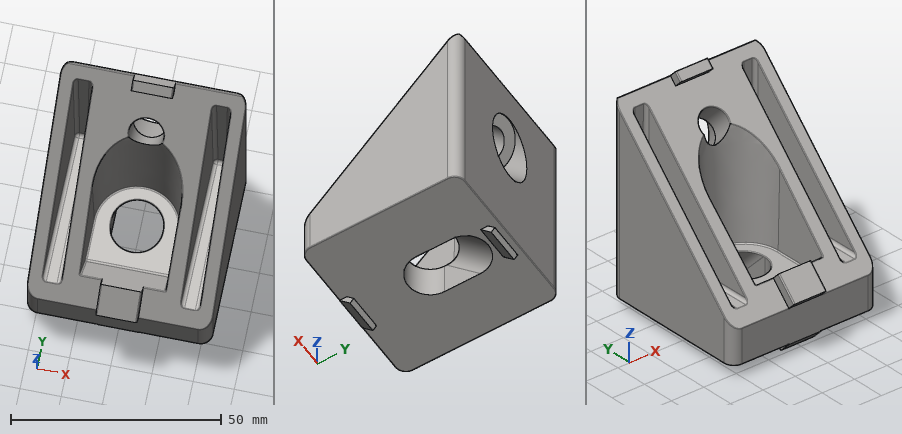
import cadquery as cq
import math

SIDE = 45.0
HALF = SIDE / 2
FRONT_HEIGHT = 10.0
SLOPE_HEIGHT = FRONT_HEIGHT + HALF
TIP_CHAMFER = 0.75
TIP_Y = HALF - TIP_CHAMFER
CORNER_RADIUS = 3.0
EDGE_ROUND = 0.2

TAB_WIDTH = 10.0
TAB_RISE = 2.0
TAB_ROOT = 0.6
TAB_ROUND = 0.3
UPPER_TAB_RUN = 2.0
LOWER_TAB_RUN = 5.8

FOOT_WIDTH = TAB_WIDTH
FOOT_DROP = 3.0
FOOT_THICKNESS = 1.5
FOOT_PITCH = 40.0
FOOT_ROOT = 0.5

POCKET_FLOOR = 9.75
POCKET_RADIUS = 10.3
POCKET_HEIGHT = SIDE
POCKET_DRAFT = 1.25
POCKET_WALL_FILLET = 0.35
POCKET_FRONT_FILLET = 1.0

BASE_HOLE_RADIUS = 12.6 / 2
BASE_HOLE_STRETCH = 0.4

SCREW_RADIUS = 8.5 / 2
SCREW_MOUTH_Y = 11.3
SCREW_SEAT_Y = 16.9
SCREW_HEAD_RADIUS = 15.0 / 2

GROOVE_X = 16.8
GROOVE_WIDTH = 4.6
GROOVE_REACH = 19.1
GROOVE_DRAFT = 0.8
GROOVE_FILLET = 1.0

INTO_SLOPE = (0, 1, -1)
OUTERMOST_ON_SLOPE = cq.selectors.DirectionMinMaxSelector(cq.Vector(0, -1, 1))


def slope_z(y):
    """Height of the sloped face at a given Y."""
    return SLOPE_HEIGHT + y


def prism(points, width):
    """Extrude a YZ outline symmetrically about X = 0."""
    return cq.Workplane("YZ").polyline(points).close().extrude(width / 2, both=True)


def rod(y, z, direction, radius):
    """Long round cutter starting at (0, y, z)."""
    return cq.Workplane(cq.Solid.makeCylinder(radius, SIDE, cq.Vector(0, y, z), cq.Vector(direction)))


def make_body():
    outline = [
        (-HALF, 0),
        (HALF, 0),
        (HALF, slope_z(TIP_Y) - TIP_CHAMFER),
        (TIP_Y, slope_z(TIP_Y)),
        (-HALF, FRONT_HEIGHT),
    ]
    block = cq.Workplane("XY").rect(SIDE, SIDE).extrude(2 * SIDE).edges("|Z").fillet(CORNER_RADIUS)
    body = block.intersect(prism(outline, SIDE))
    return body.faces("<Z").edges().fillet(EDGE_ROUND)


def make_pocket():
    """Arch-shaped pocket with drafted walls and a 45 degree front wall."""
    arch = (
        cq.Workplane("XY", origin=(0, 0, POCKET_FLOOR))
        .moveTo(-POCKET_RADIUS, -SIDE)
        .lineTo(-POCKET_RADIUS, 0)
        .threePointArc((0, POCKET_RADIUS), (POCKET_RADIUS, 0))
        .lineTo(POCKET_RADIUS, -SIDE)
        .close()
        .extrude(POCKET_HEIGHT, taper=-POCKET_DRAFT)
    )
    rim_y = LOWER_TAB_RUN - HALF
    floor_y = rim_y + slope_z(rim_y) - POCKET_FLOOR
    keep = prism(
        [
            (floor_y, POCKET_FLOOR),
            (SIDE, POCKET_FLOOR),
            (SIDE, POCKET_FLOOR + POCKET_HEIGHT),
            (floor_y - POCKET_HEIGHT, POCKET_FLOOR + POCKET_HEIGHT),
        ],
        2 * SIDE,
    )
    pocket = arch.intersect(keep)
    pocket = pocket.faces("<Z").edges("<Y").fillet(POCKET_FRONT_FILLET)
    return pocket.faces("<Z").edges("not <Y").fillet(POCKET_WALL_FILLET)


def make_base_hole():
    """Hole as wide as a round bore, its heel side sloping away at 45 degrees."""
    reach = POCKET_FLOOR + BASE_HOLE_STRETCH
    upright = cq.Workplane("XY").circle(BASE_HOLE_RADIUS).extrude(reach)
    sweep = prism([(0, reach), (0, 0), (reach, 0)], 2 * BASE_HOLE_RADIUS)
    path = cq.Workplane("YZ").moveTo(reach, 0).lineTo(0, reach)
    leaning = cq.Workplane("XY", origin=(0, reach, 0)).circle(BASE_HOLE_RADIUS).sweep(path)
    return upright.union(sweep).union(leaning)


def round_base_hole(part):
    """Soften the rim of the floor hole."""
    reach = BASE_HOLE_RADIUS + BASE_HOLE_STRETCH
    around_hole = cq.selectors.BoxSelector(
        (-reach, -reach, POCKET_FLOOR - EDGE_ROUND), (reach, reach, POCKET_FLOOR + EDGE_ROUND)
    )
    return part.edges(around_hole).fillet(EDGE_ROUND)


def make_screw_hole():
    """Tilted screw hole with a wider bore behind its seat."""
    start_y = SCREW_MOUTH_Y - SCREW_RADIUS
    axis_sum = SCREW_MOUTH_Y + slope_z(SCREW_MOUTH_Y)
    shank = rod(start_y, axis_sum - start_y, INTO_SLOPE, SCREW_RADIUS)
    head = rod(SCREW_SEAT_Y, axis_sum - SCREW_SEAT_Y, INTO_SLOPE, SCREW_HEAD_RADIUS)
    return shank.union(head)


def make_groove():
    """Triangular groove at X = 0 whose side walls close in with depth."""
    floor = slope_z(-GROOVE_REACH)
    top = slope_z(GROOVE_REACH)
    slope = cq.Plane(origin=(0, 0, SLOPE_HEIGHT), xDir=(1, 0, 0), normal=INTO_SLOPE)
    slab = cq.Workplane(slope).rect(GROOVE_WIDTH, 3 * SIDE).extrude(SIDE, taper=GROOVE_DRAFT)
    wedge = prism([(-GROOVE_REACH, floor), (GROOVE_REACH, floor), (GROOVE_REACH, top)], SIDE)
    inner_edges = cq.selectors.BoxSelector(
        (-SIDE, -GROOVE_FILLET, floor - GROOVE_FILLET), (SIDE, SIDE, SLOPE_HEIGHT + GROOVE_FILLET)
    )
    return slab.intersect(wedge).faces("<Z or >Y").edges(inner_edges).fillet(GROOVE_FILLET)


def make_tab(low_y, run):
    """Block standing square on the slope from low_y to low_y + run."""
    high_y = low_y + run
    root_y = high_y + TAB_ROOT
    root_z = slope_z(high_y) - TAB_ROOT
    tab = prism(
        [
            (low_y, slope_z(low_y) - TAB_ROOT),
            (low_y, slope_z(low_y)),
            (low_y - TAB_RISE, slope_z(low_y) + TAB_RISE),
            (high_y - TAB_RISE, slope_z(high_y) + TAB_RISE),
            (root_y, root_z),
        ],
        TAB_WIDTH,
    )
    return tab.faces(OUTERMOST_ON_SLOPE).edges("not |X").fillet(TAB_ROUND)


def make_foot(front_y):
    """Slab leaning down and back at 45 degrees from the base."""
    step = FOOT_THICKNESS / math.sqrt(2)
    return prism(
        [
            (front_y, 0),
            (front_y + FOOT_DROP, -FOOT_DROP),
            (front_y + FOOT_DROP + step, step - FOOT_DROP),
            (front_y + 2 * step, 0),
            (front_y + 2 * step, FOOT_ROOT),
            (front_y, FOOT_ROOT),
        ],
        FOOT_WIDTH,
    )


result = make_body().cut(make_pocket())
result = result.cut(make_base_hole()).cut(make_screw_hole())
for groove_x in (-GROOVE_X, GROOVE_X):
    result = result.cut(make_groove().translate((groove_x, 0, 0)))
result = result.faces(OUTERMOST_ON_SLOPE).edges().fillet(EDGE_ROUND)
result = round_base_hole(result)
result = result.union(make_tab(TIP_Y - UPPER_TAB_RUN, UPPER_TAB_RUN))
result = result.union(make_tab(-HALF, LOWER_TAB_RUN))
for foot_y in (-HALF, FOOT_PITCH - HALF):
    result = result.union(make_foot(foot_y))